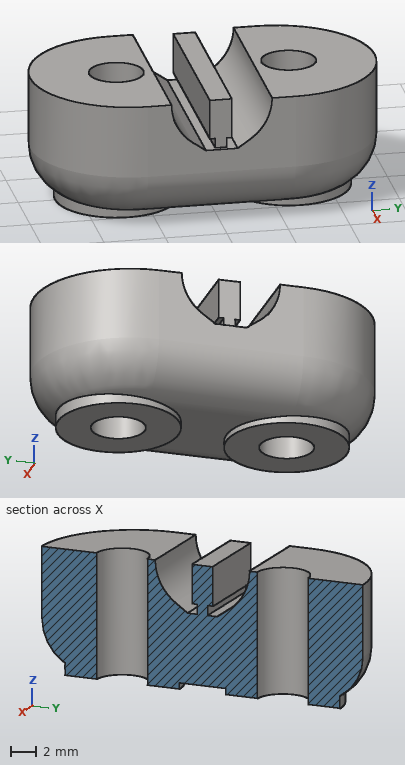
import cadquery as cq
import math

length = 28.0
body_height = 10.0
body_width = 16.0
bottom_fillet = 4.0

hole_spacing = 14.0
hole_diameter = 4.4
foot_diameter = 10.0
foot_height = 0.5

groove_radius = 4.1
flank_angle = math.radians(35)

bar_length = 15.12
bar_width = 1.8
bar_height = 3.3
neck_width = 0.92

hole_centers = [(0, -hole_spacing / 2), (0, hole_spacing / 2)]


def make_body():
    """Upright slot-shaped block with a rounded bottom edge, top at Z = 0."""
    block = (
        cq.Workplane("XY")
        .workplane(offset=-body_height)
        .slot2D(length, body_width, 90)
        .extrude(body_height)
    )
    return block.faces("<Z").edges().fillet(bottom_fillet)


def make_feet():
    """Round feet, carried up to the level where the bottom rounding starts."""
    foot_bottom = -body_height - foot_height
    return (
        cq.Workplane("XY")
        .workplane(offset=foot_bottom)
        .pushPoints(hole_centers)
        .circle(foot_diameter / 2)
        .extrude(foot_height + bottom_fillet)
    )


def make_groove():
    """Full-width cutter whose floor is level with the lowest point of its circle."""
    tangent_y = groove_radius * math.sin(flank_angle)
    tangent_z = -groove_radius * math.cos(flank_angle)
    floor_half_width = groove_radius * math.tan(flank_angle / 2)
    arc_middle_angle = (math.pi / 2 + flank_angle) / 2
    middle_y = groove_radius * math.sin(arc_middle_angle)
    middle_z = -groove_radius * math.cos(arc_middle_angle)
    return (
        cq.Workplane("YZ")
        .moveTo(-groove_radius, 0)
        .threePointArc((-middle_y, middle_z), (-tangent_y, tangent_z))
        .lineTo(-floor_half_width, -groove_radius)
        .lineTo(floor_half_width, -groove_radius)
        .lineTo(tangent_y, tangent_z)
        .threePointArc((middle_y, middle_z), (groove_radius, 0))
        .close()
        .extrude(body_width / 2, both=True)
    )


def make_bar():
    """Bar flush with the top face, joined to the groove floor by its neck."""
    bar = cq.Workplane("XY").box(
        bar_length, bar_width, bar_height, centered=(True, True, False)
    ).translate((0, 0, -bar_height))
    neck = cq.Workplane("XY").box(
        bar_length, neck_width, groove_radius, centered=(True, True, False)
    ).translate((0, 0, -groove_radius))
    return bar.union(neck)


holes = (
    cq.Workplane("XY")
    .pushPoints(hole_centers)
    .circle(hole_diameter / 2)
    .extrude(-body_height - foot_height)
)

result = make_body().union(make_feet()).cut(make_groove()).union(make_bar()).cut(holes)